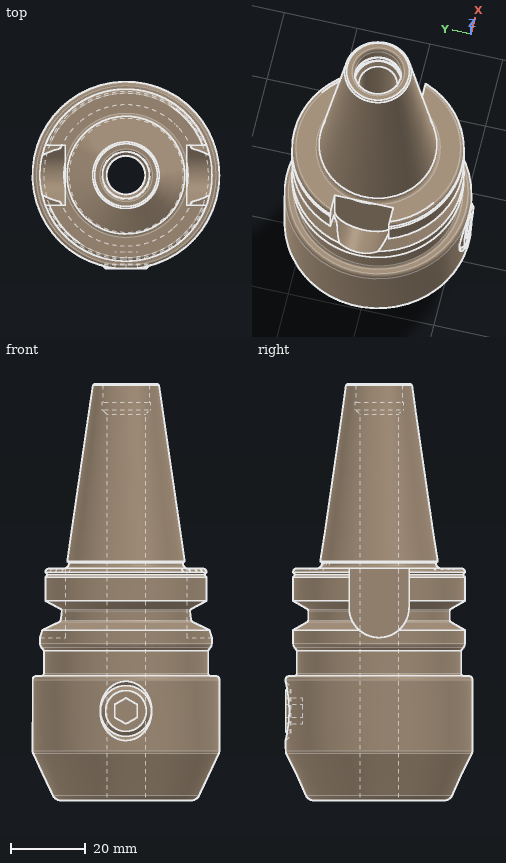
import cadquery as cq
import math

total_height = 111.4
gauge_z = 63.0
flange_top = 62.0

taper_slope = 7 / 48
gauge_diameter = 31.7
gauge_radius = gauge_diameter / 2
taper_bottom = 63.9
taper_bottom_radius = gauge_radius - taper_slope * (taper_bottom - gauge_z)
shank_top_radius = gauge_radius - taper_slope * (total_height - gauge_z)
shank_top_chamfer = 0.5

neck_radius = 15.3
neck_top = 63.5
neck_fillet = 1.3

flange_diameter = 46.0
flange_radius = flange_diameter / 2
flange_top_fillet = 1.0
groove_radius = 18.9
groove_floor_bottom = 47.9
groove_floor_top = 51.0
groove_corner_fillet = 0.6
groove_flank_height = (flange_radius - groove_radius) * math.tan(math.radians(30))
flange_bottom = 41.4
flange_bottom_fillet = 1.7

v_groove_z = 60.4
v_groove_depth = 0.6
v_groove_half_width = 0.7

sleeve_diameter = 44.0
sleeve_radius = sleeve_diameter / 2
undercut_height = 1.3
sleeve_fillet = 0.7

body_diameter = 50.0
body_radius = body_diameter / 2
body_top = 33.3
body_top_fillet = 1.0
nose_cone_top = 12.9
nose_radius = 18.9
body_nose_fillet = 1.7
nose_fillet = 2.5

slot_half_width = 8.0
slot_floor_x = 16.3
slot_bottom = 43.6

bore_radius = 5.1
counterbore_radius = 6.2
counterbore_depth = 7.0
relief_radius = 6.5
relief_top_depth = 4.9
mouth_fillet = 0.8

screw_z = 24.0
screw_radius = 6.8
screw_face_y = 25.0
screw_chamfer = 1.3
countersink_radius = 7.9
countersink_depth = countersink_radius - screw_radius
hex_across_flats = 6.0
hex_depth = 4.5


def revolve_profile(points):
    """Revolve a closed (radius, z) outline about the Z axis."""
    return cq.Workplane("XZ").polyline(points).close().revolve(360, (0, 0), (0, 1))


def round_ring(body, radius, z, fillet):
    """Fillet the circular edge of the given radius at height z."""
    tolerance = 0.01
    ring = body.edges("%CIRCLE").filter(
        lambda edge: abs(edge.radius() - radius) < tolerance
        and abs(edge.Center().z - z) < tolerance
    )
    return ring.fillet(fillet)


def make_turned_body():
    body = revolve_profile([
        (0, 0),
        (nose_radius, 0),
        (body_radius, nose_cone_top),
        (body_radius, body_top),
        (sleeve_radius, body_top),
        (sleeve_radius, flange_bottom - undercut_height),
        (flange_radius, flange_bottom),
        (flange_radius, groove_floor_bottom - groove_flank_height),
        (groove_radius, groove_floor_bottom),
        (groove_radius, groove_floor_top),
        (flange_radius, groove_floor_top + groove_flank_height),
        (flange_radius, flange_top),
        (neck_radius, flange_top),
        (neck_radius, neck_top),
        (taper_bottom_radius, taper_bottom),
        (shank_top_radius, total_height),
        (0, total_height),
    ])
    body = round_ring(body, nose_radius, 0, nose_fillet)
    body = round_ring(body, body_radius, nose_cone_top, body_nose_fillet)
    body = round_ring(body, body_radius, body_top, body_top_fillet)
    body = round_ring(body, sleeve_radius, body_top, sleeve_fillet)
    body = round_ring(body, groove_radius, groove_floor_bottom, groove_corner_fillet)
    body = round_ring(body, groove_radius, groove_floor_top, groove_corner_fillet)
    body = round_ring(body, flange_radius, flange_bottom, flange_bottom_fillet)
    body = round_ring(body, flange_radius, flange_top, flange_top_fillet)
    body = round_ring(body, neck_radius, flange_top, neck_fillet)
    return body.faces(">Z").edges().chamfer(shank_top_chamfer)


def make_v_groove():
    return revolve_profile([
        (flange_radius - v_groove_depth, v_groove_z),
        (flange_radius, v_groove_z - v_groove_half_width),
        (flange_radius, v_groove_z + v_groove_half_width),
    ])


def make_drive_slot(side):
    """Round-bottomed slot open to the flange top; side is +1 or -1 along X."""
    arc_z = slot_bottom + slot_half_width
    return (
        cq.Workplane("YZ", origin=(side * slot_floor_x, 0, 0))
        .moveTo(-slot_half_width, flange_top)
        .lineTo(-slot_half_width, arc_z)
        .threePointArc((0, slot_bottom), (slot_half_width, arc_z))
        .lineTo(slot_half_width, flange_top)
        .close()
        .extrude(side * (flange_radius - slot_floor_x))
    )


def make_bore():
    counterbore_floor = total_height - counterbore_depth
    relief_top = total_height - relief_top_depth
    cone_height = counterbore_radius - bore_radius
    return revolve_profile([
        (0, 0),
        (bore_radius, 0),
        (bore_radius, counterbore_floor - cone_height),
        (counterbore_radius, counterbore_floor),
        (relief_radius, counterbore_floor),
        (relief_radius, relief_top),
        (counterbore_radius, relief_top),
        (counterbore_radius, total_height),
        (0, total_height),
    ])


def screw_plane(y):
    """Sketch plane on the screw axis, facing -Y."""
    return cq.Workplane("XZ", origin=(0, -y, screw_z))


def make_screw_seat():
    seat_bottom = screw_face_y - screw_chamfer
    hole = screw_plane(seat_bottom).circle(screw_radius).extrude(body_radius - seat_bottom)
    countersink = (
        screw_plane(body_radius)
        .circle(countersink_radius)
        .extrude(-countersink_depth, taper=45)
    )
    return hole.union(countersink)


def make_screw_head():
    root = screw_face_y - 2 * screw_chamfer
    return (
        screw_plane(root)
        .circle(screw_radius)
        .extrude(screw_face_y - root)
        .faces("<Y")
        .chamfer(screw_chamfer)
    )


def make_hex_socket():
    across_corners = hex_across_flats / math.cos(math.radians(30))
    return (
        screw_plane(screw_face_y)
        .transformed(rotate=(0, 0, 30))
        .polygon(6, across_corners)
        .extrude(-hex_depth)
    )


result = make_turned_body().cut(make_v_groove())
for side in (-1, 1):
    result = result.cut(make_drive_slot(side))
result = round_ring(result.cut(make_bore()), counterbore_radius, total_height, mouth_fillet)
result = result.cut(make_screw_seat()).union(make_screw_head()).cut(make_hex_socket())